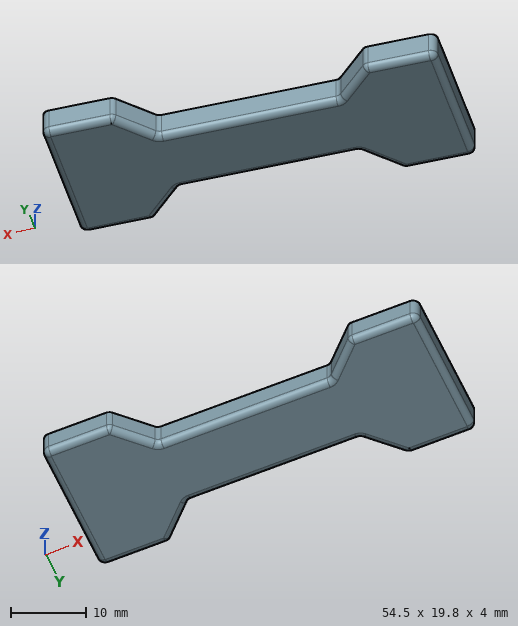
import cadquery as cq

length = 54.45
width = 19.8
thickness = 4.0

neck_width = 10.0
neck_length = 24.95

corner_radius = 1.05
rim_radius = 1.0

half_length = length / 2
half_width = width / 2
half_neck_width = neck_width / 2
half_neck_length = neck_length / 2
shoulder_end = half_neck_length + half_width - half_neck_width


def dumbbell_outline():
    """Corner points of the outline, counter-clockwise from the lower left."""
    lower_side = [
        (-half_length, -half_width),
        (-shoulder_end, -half_width),
        (-half_neck_length, -half_neck_width),
        (half_neck_length, -half_neck_width),
        (shoulder_end, -half_width),
        (half_length, -half_width),
    ]
    upper_side = [(-x, -y) for x, y in lower_side]
    return lower_side + upper_side


plate = cq.Workplane("XY").polyline(dumbbell_outline()).close().extrude(thickness)
plate = plate.edges("|Z").fillet(corner_radius)

result = plate.faces("<Z").edges().fillet(rim_radius)